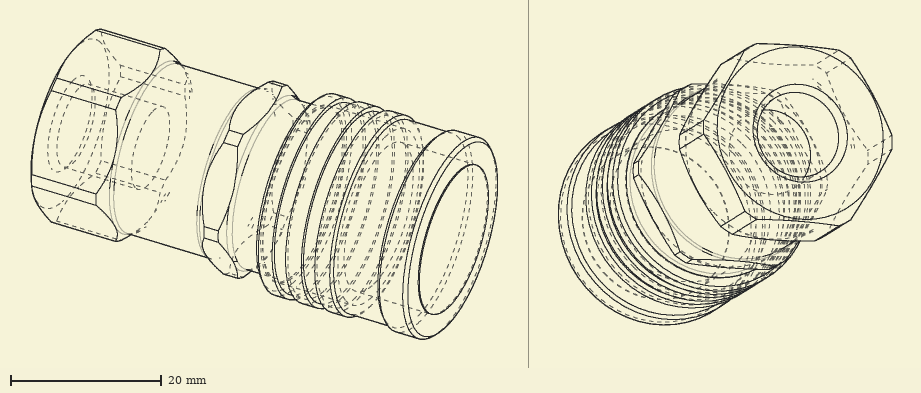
import cadquery as cq
import math

total_length = 57.0
core_protrusion = 0.15

flat_radius = 24.0 / 2
corner_radius = 13.35
nose_radius = 11.75
end_hex_back = 10.5
mid_hex_front = 26.5
mid_hex_back = 28.6
even_angle = math.radians(45)
steep_angle = math.radians(60)

neck_radius = 11.8
fillet_radius = 0.75

seat_fillet = 0.45
seat_radius = neck_radius + seat_fillet
seat_neck_end = 34.2
seat_front = seat_neck_end + seat_fillet
core_radius = 10.4

sleeve_front = 34.35
sleeve_back = total_length - core_protrusion
sleeve_radius = 28.0 / 2
sleeve_chamfer = 0.5
groove_radius = 13.35
groove_width = 2.0
groove_starts = (36.95, 41.25)
rib_back = 45.8
rib_chamfer = 0.35
grip_radius = 13.5
collar_front = 52.4
collar_chamfer = sleeve_radius - grip_radius

seat_back = rib_back

port_radius = 5.75
port_mouth_radius = 6.65
port_chamfer = port_mouth_radius - port_radius
port_depth = 11.95


def revolve_about_x(profile):
    """Full revolution of a closed half profile about the X axis."""
    return profile.close().revolve(360, (0, 0, 0), (1, 0, 0))


def cylinder(radius, start, end):
    """Cylinder about the X axis between two X positions."""
    return cq.Workplane("YZ").workplane(offset=start).circle(radius).extrude(end - start)


def fillet_point(neck_end, direction, angle):
    """Point on a neck-end fillet where it has turned by angle; direction is the way it rises in X."""
    run = fillet_radius * math.sin(angle)
    rise = fillet_radius * (1 - math.cos(angle))
    return neck_end + direction * run, neck_radius + rise


def neck_end_below(cone_top, direction, angle):
    """X where the neck meets the fillet of a cone whose top lies on the hexagon corner radius."""
    tangent_length = fillet_radius * math.tan(angle / 2)
    cone_run = (corner_radius - neck_radius) / math.tan(angle)
    return cone_top - direction * (cone_run + tangent_length)


def turned_body():
    """Both hexagon blanks, the neck, the seat and the core as one revolved profile."""
    nose_chamfer = (corner_radius - nose_radius) / math.tan(steep_angle)
    end_hex_neck = neck_end_below(end_hex_back, -1, even_angle)
    mid_hex_front_neck = neck_end_below(mid_hex_front, 1, even_angle)
    mid_hex_back_neck = neck_end_below(mid_hex_back, -1, steep_angle)
    seat_arc_run = seat_fillet * math.sin(even_angle)
    seat_arc_middle = (seat_neck_end + seat_arc_run, seat_radius - seat_arc_run)
    return revolve_about_x(
        cq.Workplane("XZ")
        .lineTo(0, nose_radius)
        .lineTo(nose_chamfer, corner_radius)
        .lineTo(end_hex_back, corner_radius)
        .lineTo(*fillet_point(end_hex_neck, -1, even_angle))
        .threePointArc(fillet_point(end_hex_neck, -1, even_angle / 2), (end_hex_neck, neck_radius))
        .lineTo(mid_hex_front_neck, neck_radius)
        .threePointArc(
            fillet_point(mid_hex_front_neck, 1, even_angle / 2),
            fillet_point(mid_hex_front_neck, 1, even_angle),
        )
        .lineTo(mid_hex_front, corner_radius)
        .lineTo(mid_hex_back, corner_radius)
        .lineTo(*fillet_point(mid_hex_back_neck, -1, steep_angle))
        .threePointArc(
            fillet_point(mid_hex_back_neck, -1, steep_angle / 2),
            (mid_hex_back_neck, neck_radius),
        )
        .lineTo(seat_neck_end, neck_radius)
        .threePointArc(seat_arc_middle, (seat_front, seat_radius))
        .lineTo(seat_back, seat_radius)
        .lineTo(seat_back, core_radius)
        .lineTo(total_length, core_radius)
        .lineTo(total_length, 0)
    )


def hexagon_envelope():
    """Hexagonal prism around the exposed body, round from the sleeve onward."""
    across_points = 2 * flat_radius / math.cos(math.radians(30))
    prism = cq.Workplane("YZ").polygon(6, across_points).extrude(sleeve_front)
    return prism.union(cylinder(sleeve_radius, sleeve_front, total_length))


def port():
    """Blind hole with a chamfered mouth."""
    return revolve_about_x(
        cq.Workplane("XZ")
        .lineTo(0, port_mouth_radius)
        .lineTo(port_chamfer, port_radius)
        .lineTo(port_depth, port_radius)
        .lineTo(port_depth, 0)
    )


def make_body():
    """Coupling body: the flats clear the neck, so one envelope cuts both hexagons."""
    return turned_body().intersect(hexagon_envelope()).cut(port())


def groove(start):
    """Ring removed from the sleeve to form one groove."""
    end = start + groove_width
    return cylinder(sleeve_radius, start, end).cut(cylinder(groove_radius, start, end))


def make_sleeve():
    """Sleeve around the body, bored to fit the seat and the core."""
    sleeve = revolve_about_x(
        cq.Workplane("XZ")
        .moveTo(sleeve_front, seat_radius)
        .lineTo(sleeve_front, sleeve_radius - sleeve_chamfer)
        .lineTo(sleeve_front + sleeve_chamfer, sleeve_radius)
        .lineTo(rib_back - rib_chamfer, sleeve_radius)
        .lineTo(rib_back, grip_radius)
        .lineTo(collar_front, grip_radius)
        .lineTo(collar_front + collar_chamfer, sleeve_radius)
        .lineTo(sleeve_back - sleeve_chamfer, sleeve_radius)
        .lineTo(sleeve_back, sleeve_radius - sleeve_chamfer)
        .lineTo(sleeve_back, core_radius)
        .lineTo(seat_back, core_radius)
        .lineTo(seat_back, seat_radius)
    )
    for start in groove_starts:
        sleeve = sleeve.cut(groove(start))
    return sleeve


body = make_body()
sleeve = make_sleeve()

result = cq.Compound.makeCompound([body.val(), sleeve.val()])